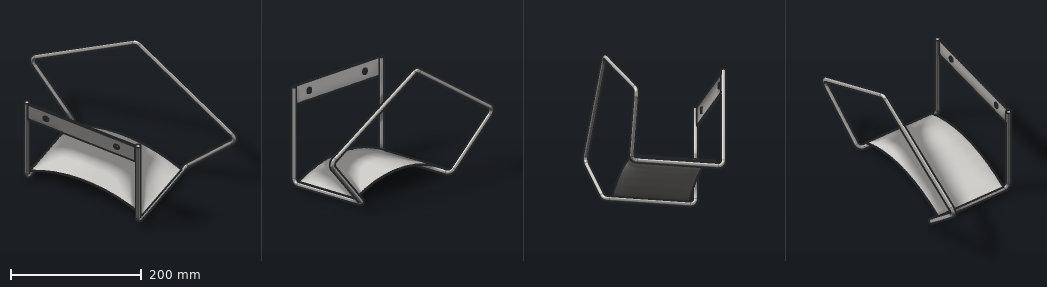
import cadquery as cq
import math

rod_diameter = 8.0
rod_radius = rod_diameter / 2
bend_radius = 9.0
rod_x = 98.5
post_top = 155.0
base_length = 144.0
side_corner = (183.65, 154.45, 86.2)
apex = (0.0, 164.06, 195.7)

bar_height = 30.0
bar_thickness = 3.0
hole_diameter = 9.0
hole_spacing = 125.0

tray_half_width = 100.0
tray_length = 120.0
tray_front = 10.0
tray_thickness = 1.5
tray_radius = 216.0


def tangent_length(before, corner, after):
    """Distance from a corner of the rod axis to where its bend starts."""
    turn = (corner - before).getAngle(after - corner)
    return bend_radius * math.tan(turn / 2)


def bend_points(before, corner, after):
    """Start, middle and end of the arc that rounds a corner of the rod axis."""
    to_before = (before - corner).normalized()
    to_after = (after - corner).normalized()
    length = tangent_length(before, corner, after)
    half_turn = math.atan(length / bend_radius)
    inward = (to_before + to_after).normalized()
    middle = corner + inward * (bend_radius / math.cos(half_turn) - bend_radius)
    return corner + to_before * length, middle, corner + to_after * length


def rod_along(corners):
    """Round rod that follows straight runs between the corners, bent at each one."""
    edges = []
    run_start = corners[0]
    for before, corner, after in zip(corners, corners[1:], corners[2:]):
        bend_start, bend_middle, bend_end = bend_points(before, corner, after)
        edges.append(cq.Edge.makeLine(run_start, bend_start))
        edges.append(cq.Edge.makeThreePointArc(bend_start, bend_middle, bend_end))
        run_start = bend_end
    edges.append(cq.Edge.makeLine(run_start, corners[-1]))
    axis = cq.Wire.assembleEdges(edges)
    section = cq.Plane(origin=corners[0], normal=corners[1] - corners[0])
    return cq.Workplane(section).circle(rod_radius).sweep(cq.Workplane(axis))


def make_frame():
    half = [
        cq.Vector(rod_x, 0, post_top),
        cq.Vector(rod_x, 0, 0),
        cq.Vector(rod_x, base_length, 0),
        cq.Vector(*side_corner),
    ]
    mirrored = [cq.Vector(-corner.x, corner.y, corner.z) for corner in reversed(half)]
    return rod_along(half + [cq.Vector(*apex)] + mirrored)


def make_bar():
    back_y = bar_thickness - rod_radius
    bar_length = 2 * (rod_x - math.sqrt(rod_radius ** 2 - back_y ** 2))
    bar = cq.Workplane("XY").box(bar_length, bar_thickness, bar_height)
    bar = bar.faces("<Y").workplane().rarray(hole_spacing, 1, 2, 1).hole(hole_diameter)
    return bar.translate((0, back_y - bar_thickness / 2, post_top - bar_height / 2))


def make_tray():
    outer_radius = tray_radius + tray_thickness
    half_angle = math.asin(tray_half_width / outer_radius)

    edge_x = tray_radius * math.sin(half_angle)
    edge_z = math.sqrt(rod_radius ** 2 - (edge_x - rod_x) ** 2)
    centre_z = edge_z - tray_radius * math.cos(half_angle)

    def on_arc(radius, angle):
        return radius * math.sin(angle), centre_z + radius * math.cos(angle)

    profile = (
        cq.Workplane("XZ", origin=(0, tray_front, 0))
        .moveTo(*on_arc(tray_radius, -half_angle))
        .threePointArc(on_arc(tray_radius, 0), on_arc(tray_radius, half_angle))
        .lineTo(*on_arc(outer_radius, half_angle))
        .threePointArc(on_arc(outer_radius, 0), on_arc(outer_radius, -half_angle))
        .close()
    )
    return profile.extrude(-tray_length)


frame = make_frame()
bar = make_bar()
tray = make_tray()

result = cq.Compound.makeCompound([frame.val(), bar.val(), tray.val()])